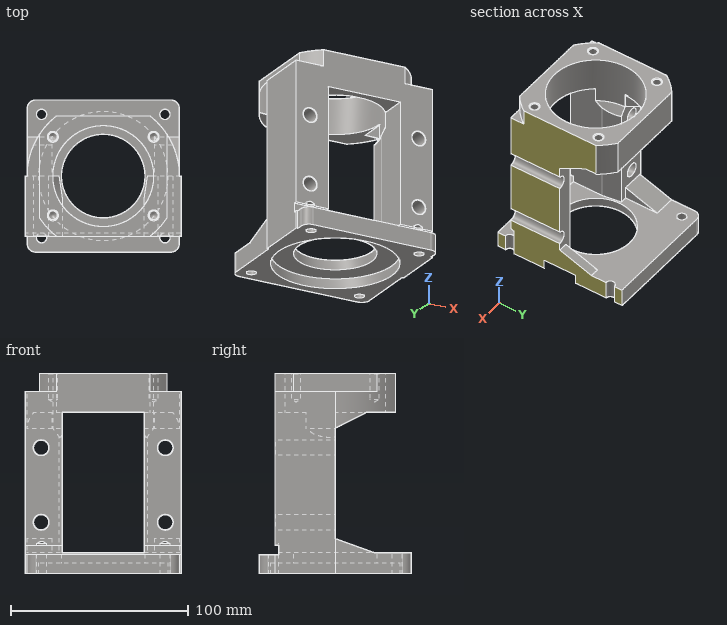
import cadquery as cq
import math


height = 113.0
top_plate_thickness = 10.1
head_thickness = 22.0
base_thickness = 12.0
lip_thickness = 10.7
head_bottom = height - head_thickness
shoulder_height = height - top_plate_thickness

drill_tip_angle = 118.0

base_side = 86.0
base_corner_radius = 5.0
base_bore_diameter = 47.0
base_recess_diameter = 73.0
base_recess_depth = 6.0
base_hole_diameter = 5.6
base_hole_spacing = 69.6
base_hole_depth = 17.1

body_width = 88.0
body_depth = 34.0
window_width = 46.2
flare_start = 12.0
flare_width = 1.8

groove_depth = 2.0
groove_top = 16.0

head_radius = base_side / 2
plate_width = 72.0
plate_depth = 2 * body_depth

bore_radius = 28.5
bore_depth = 31.0
bore_bottom = height - bore_depth
bore_cone_half_angle = 37.0

gusset_inner_x = 29.0
upper_gusset_length = 17.6
lower_gusset_length = 21.9
lower_gusset_top = 19.9

top_hole_diameter = 5.0
top_countersink_diameter = 6.2
top_hole_spacing_x = 56.8
top_hole_spacing_y = 44.3
top_hole_depth = 14.7
leg_hole_diameter = 8.5
leg_countersink_diameter = 9.0
leg_hole_spacing_x = 70.1
leg_hole_heights = (29.0, 71.1)


def box(width, y_min, y_max, z_min, z_max):
    """Block centred on X = 0."""
    size = (width, y_max - y_min, z_max - z_min)
    return cq.Workplane("XY").box(*size, centered=(True, False, False)).translate((0, y_min, z_min))


def cylinder(radius, z_min, z_max):
    """Upright cylinder on the bore axis."""
    return cq.Workplane("XY").workplane(offset=z_min).circle(radius).extrude(z_max - z_min)


def revolved(profile):
    """Solid of revolution about Z from a closed (radius, Z) profile."""
    return cq.Workplane("XZ").polyline(profile).close().revolve(360, (0, 0), (0, 1))


def drill_point_length(radius):
    """Height of the pointed end of a drill."""
    return radius / math.tan(math.radians(drill_tip_angle / 2))


def drill(diameter, depth):
    """Drill shape along +Z from the origin, with a pointed end beyond its depth."""
    radius = diameter / 2
    return revolved([(0, 0), (radius, 0), (radius, depth), (0, depth + drill_point_length(radius))])


def countersink(diameter):
    """Cone along +Z with its wide end at the origin, as left by a drill point."""
    radius = diameter / 2
    return revolved([(0, 0), (radius, 0), (0, drill_point_length(radius))])


def gusset_pair(profile):
    """A (Y, Z) profile extruded between the inner face and the base side, on both sides."""
    width = base_side / 2 - gusset_inner_x
    right = cq.Workplane("YZ").workplane(offset=gusset_inner_x).polyline(profile).close().extrude(width)
    return right.union(right.mirror("YZ"))


def make_base():
    square = cq.Workplane("XY").rect(base_side, base_side)
    base = square.extrude(base_thickness).edges("|Z").fillet(base_corner_radius)
    step = box(base_side, -base_side / 2, groove_depth - body_depth, lip_thickness, base_thickness)
    profile = [(0, 0), (lower_gusset_length, 0), (lower_gusset_length, base_thickness), (0, lower_gusset_top)]
    return base.cut(step).union(gusset_pair(profile))


def make_legs():
    block = box(body_width, -body_depth, 0, 0, shoulder_height)
    half_window = window_width / 2
    half_back = half_window + flare_width
    opening = (
        cq.Workplane("XY")
        .workplane(offset=base_thickness)
        .polyline([
            (-half_window, -body_depth),
            (half_window, -body_depth),
            (half_window, -flare_start),
            (half_back, 0),
            (-half_back, 0),
            (-half_window, -flare_start),
        ])
        .close()
        .extrude(head_bottom - base_thickness)
    )
    groove = box(body_width, -body_depth, groove_depth - body_depth, lip_thickness, groove_top)
    return block.cut(opening).cut(groove)


def make_head():
    disc = cylinder(head_radius, head_bottom, shoulder_height)
    profile = [(0, head_bottom), (upper_gusset_length, head_bottom), (0, bore_bottom)]
    gussets = gusset_pair(profile).intersect(cylinder(head_radius, bore_bottom, head_bottom))
    back = disc.intersect(box(base_side, 0, body_depth, head_bottom, shoulder_height))
    plate_box = box(plate_width, -plate_depth / 2, plate_depth / 2, shoulder_height, height)
    plate = cylinder(head_radius, shoulder_height, height).intersect(plate_box)
    return back.union(gussets).union(plate)


def head_bore():
    cone_depth = bore_radius / math.tan(math.radians(bore_cone_half_angle))
    profile = [(0, height), (bore_radius, height), (bore_radius, bore_bottom), (0, bore_bottom - cone_depth)]
    return revolved(profile)


def place_at(shape, points):
    """Copies of a shape at every point of a workplane."""
    return points.eachpoint(lambda location: shape.val().moved(location), combine=False)


def top_holes():
    hole = drill(top_hole_diameter, top_hole_depth).union(countersink(top_countersink_diameter))
    downward = hole.rotate((0, 0, 0), (1, 0, 0), 180)
    top_face = cq.Workplane("XY").workplane(offset=height)
    return place_at(downward, top_face.rarray(top_hole_spacing_x, top_hole_spacing_y, 2, 2))


def base_holes():
    hole = drill(base_hole_diameter, base_hole_depth)
    return place_at(hole, cq.Workplane("XY").rarray(base_hole_spacing, base_hole_spacing, 2, 2))


def leg_holes():
    shaft = cylinder(leg_hole_diameter / 2, 0, body_depth)
    hole = shaft.union(countersink(leg_countersink_diameter))
    backward = hole.rotate((0, 0, 0), (1, 0, 0), -90).translate((0, -body_depth, 0))
    half_spacing = leg_hole_spacing_x / 2
    centres = [(x, 0, z) for x in (-half_spacing, half_spacing) for z in leg_hole_heights]
    return place_at(backward, cq.Workplane("XY").pushPoints(centres))


result = make_base().union(make_legs()).union(make_head())
result = result.cut(cylinder(base_bore_diameter / 2, 0, base_thickness))
result = result.cut(cylinder(base_recess_diameter / 2, 0, base_recess_depth))
result = result.cut(head_bore())
for holes in (top_holes(), base_holes(), leg_holes()):
    result = result.cut(holes)